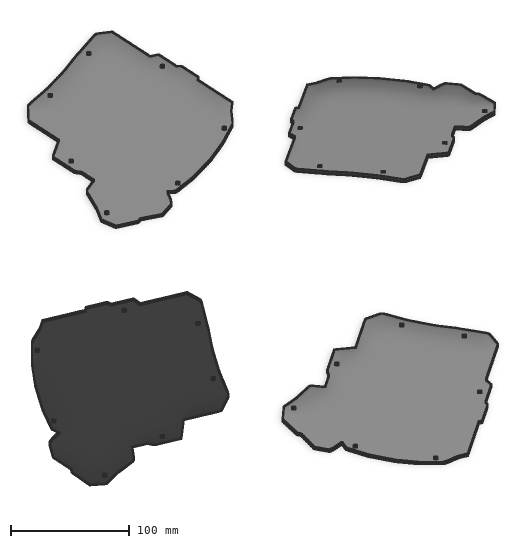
import cadquery as cq

width = 158.92
depth = 165.68
thickness = 3.0
hole_diameter = 3.0

upper_tab_y = depth
upper_edge_y = 163.1
upper_left_edge_y = 157.2
lower_left_edge_y = 42.0
lower_step_y = 28.1
lower_edge_y = 25.3

left_side = [
    (9.5, upper_left_edge_y),
    (0.5, 147.6),
    (0, 145.2),
    (0.7, 129.0),
    (1.0, 122.6),
    (1.0, 119.0),
    (2.5, 103.5),
    (2.8, 97.6),
    (2.8, 78.5),
    (2.5, 73.1),
    (1.0, 57.6),
    (1.1, 53.5),
    (10.4, 42.3),
    (13.4, lower_left_edge_y),
]

lower_side = [
    (43.3, lower_left_edge_y),
    (48.8, 28.0),
    (50.0, lower_edge_y),
    (73.6, lower_edge_y),
    (78.6, lower_step_y),
    (92.1, lower_step_y),
]

lobe = [
    (93.6, 16.4),
    (95.3, 14.8),
    (111.1, 7.3),
    (120.8, 0.9),
    (122.1, 0),
    (135.7, 2.5),
    (147.3, 18.1),
    (147.3, 21.6),
    (148.9, 23.6),
    (width, 36.2),
    (158.6, 49.3),
    (155.4, 52.3),
    (147.7, 57.3),
]

right_side = [
    (153.0, 62.2),
    (155.7, 82.1),
    (155.7, 105.9),
    (153.0, 126.2),
    (147.9, 145.6),
    (145.6, 148.5),
    (138.0, 156.4),
    (133.8, upper_edge_y),
]

upper_side = [
    (96.7, upper_edge_y),
    (95.4, upper_tab_y),
    (76.9, upper_tab_y),
    (74.0, upper_edge_y),
    (54.6, upper_edge_y),
    (50.4, upper_left_edge_y),
]

hole_centers = [
    (7.9, 127.5),
    (9.2, 73.5),
    (64.7, 155.7),
    (64.8, 31.4),
    (121.3, 8.4),
    (145.1, 138.0),
    (149.4, 69.4),
]


def make_plate():
    outline = left_side + lower_side + lobe + right_side + upper_side
    return cq.Workplane("XY").polyline(outline).close().extrude(thickness)


def drill_holes(plate):
    """Drill the screw holes through the full thickness."""
    return (
        plate.faces(">Z")
        .workplane(origin=(0, 0, thickness))
        .pushPoints(hole_centers)
        .hole(hole_diameter)
    )


result = drill_holes(make_plate())